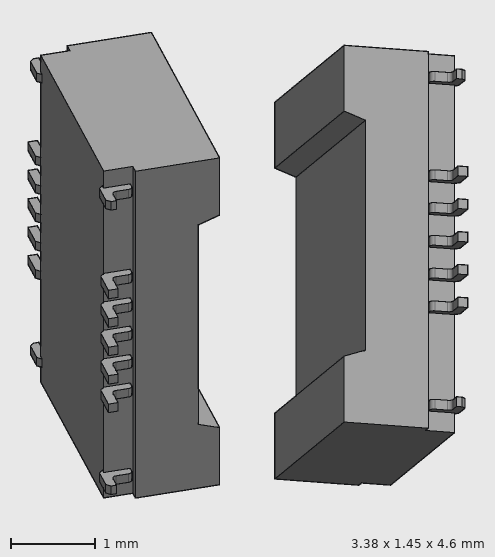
import cadquery as cq

body_length = 4.6
body_width = 2.86
front_width = 2.64
overall_depth = 1.45
standoff = 0.05
shoulder_height = 0.41

recess_depth = 0.26
recess_mouth = 2.99
recess_floor = 2.805

lead_thickness = 0.12
lead_chamfer = standoff
bend_radius = 0.05
leg_height = 0.375
signal_span = 3.38
signal_pitch = 0.4
signal_count = 5
anchor_span = 3.255
anchor_spacing = 4.0
anchor_overlap = 0.055

front_y = standoff
back_y = overall_depth
wall_x = front_width / 2
leg_outer_x = body_width / 2


def housing():
    """Block with a narrower front part and a tapered recess across its back."""
    rear = cq.Workplane("XY").box(
        body_width, back_y - shoulder_height, body_length, centered=(True, False, True)
    ).translate((0, shoulder_height, 0))
    front = cq.Workplane("XY").box(
        front_width, back_y - front_y, body_length, centered=(True, False, True)
    ).translate((0, front_y, 0))
    recess = (
        cq.Workplane("YZ")
        .polyline([
            (back_y, -recess_mouth / 2),
            (back_y - recess_depth, -recess_floor / 2),
            (back_y - recess_depth, recess_floor / 2),
            (back_y, recess_mouth / 2),
        ])
        .close()
        .extrude(body_width / 2, both=True)
    )
    return rear.union(front).cut(recess)


def edge_near(shape, x, y):
    """Select the Z-parallel edge of a lead closest to (x, y)."""
    return shape.edges("|Z").edges(cq.selectors.NearestToPointSelector((x, y, 0)))


def lead(tip_x, heel_x, chamfer_tip):
    """L-shaped lead on the +X side, centred on Z = 0, with rounded bends and a chamfered heel."""
    shape = (
        cq.Workplane("XY")
        .polyline([
            (heel_x, 0),
            (tip_x, 0),
            (tip_x, lead_thickness),
            (leg_outer_x, lead_thickness),
            (leg_outer_x, leg_height),
            (heel_x, leg_height),
        ])
        .close()
        .extrude(lead_thickness / 2, both=True)
    )
    shape = edge_near(shape, leg_outer_x, lead_thickness).fillet(bend_radius)
    shape = edge_near(shape, leg_outer_x, leg_height).fillet(bend_radius)
    shape = edge_near(shape, heel_x, 0).chamfer(lead_chamfer)
    if chamfer_tip:
        shape = edge_near(shape, tip_x, 0).chamfer(lead_chamfer)
    return shape


def add_lead_pairs(part, right_lead, heights):
    """Add the lead and its mirror image on the -X side at each height."""
    pair = right_lead.union(right_lead.mirror("YZ"))
    for z in heights:
        part = part.union(pair.translate((0, 0, z)))
    return part


signal_heights = [(i - (signal_count - 1) / 2) * signal_pitch for i in range(signal_count)]
anchor_heights = [-anchor_spacing / 2, anchor_spacing / 2]

signal_lead = lead(signal_span / 2, wall_x, chamfer_tip=False)
anchor_lead = lead(anchor_span / 2, wall_x - anchor_overlap, chamfer_tip=True)

result = housing()
result = add_lead_pairs(result, signal_lead, signal_heights)
result = add_lead_pairs(result, anchor_lead, anchor_heights)